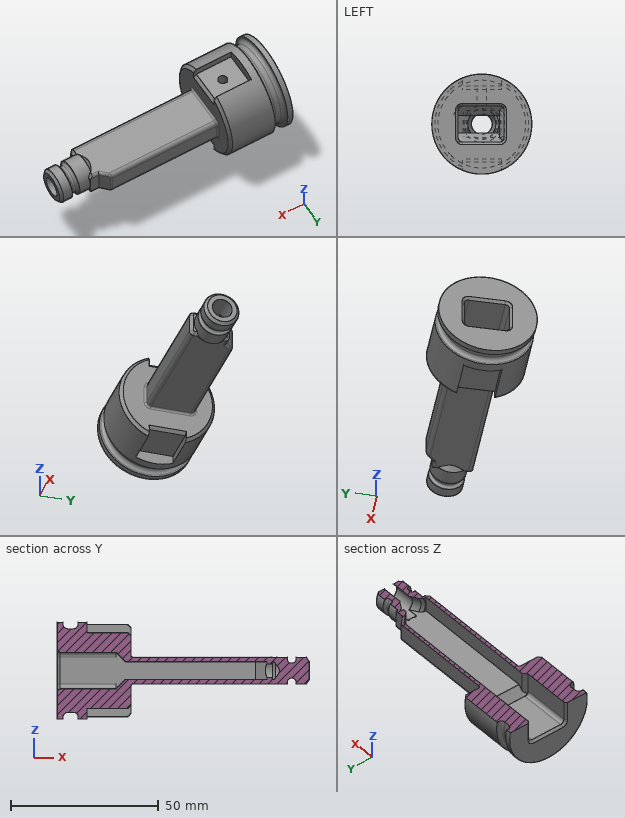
import cadquery as cq
import math

total_length = 85.53

head_diameter = 34.0
head_length = 25.1
head_chamfer = 1.1
ring_groove_start = 2.05
ring_groove_width = 5.0
ring_groove_floor_diameter = 29.8
ring_groove_radius = 1.5

pocket_start = 10.2
pocket_width = 13.2
pocket_floor_height = 12.9
pin_hole_diameter = 3.31
pin_hole_x = 17.5

shank_left = 9.45
shank_right = -7.65
shank_height = 9.1
shank_end = 74.0
shank_edge_radius = 1.5
shank_end_chamfer = 1.1
shank_root_radius = 0.75
notch_floor_y = 6.3
notch_floor_start = 70.6
notch_edge_radius = 1.0

stud_diameter = 12.5
stud_cone_end = 72.55
stud_chamfer = 1.0
stud_groove_start = 78.1
stud_groove_width = 2.9
stud_groove_floor_diameter = 10.0
stud_groove_radius = 0.95

socket_left = 8.0
socket_right = -7.5
socket_height = 12.2
socket_depth = 20.0
socket_corner_radius = 1.5
socket_mouth_chamfer = 0.9
slot_right = -6.05
slot_height = 5.9
slot_end = 73.0
slot_wall_to_notch = 1.1

bore_diameter = 7.0
bore_mouth_diameter = 9.5
bore_flare_diameter = 11.6
bore_taper_length = 3.0

edge_margin = 0.1

notch_overrun = 1.0


def box(x_range, y_range, z_range):
    """Axis-aligned box spanning the given ranges."""
    x0, x1 = x_range
    y0, y1 = y_range
    z0, z1 = z_range
    block = cq.Workplane("XY").box(x1 - x0, y1 - y0, z1 - z0, centered=False)
    return block.translate((x0, y0, z0))


def revolve_about_x(profile):
    """Close an XY profile and turn it fully about the X axis."""
    return profile.close().revolve(360, (0, 0, 0), (1, 0, 0))


def add_groove(profile, start, width, outer_radius, floor_radius, corner_radius):
    """Continue a turned profile along a groove with rounded floor corners."""
    end = start + width
    arc_top = floor_radius + corner_radius
    arc_offset = corner_radius * (1 - math.sqrt(0.5))
    return (
        profile.lineTo(start, outer_radius)
        .lineTo(start, arc_top)
        .threePointArc(
            (start + arc_offset, floor_radius + arc_offset),
            (start + corner_radius, floor_radius),
        )
        .lineTo(end - corner_radius, floor_radius)
        .threePointArc(
            (end - arc_offset, floor_radius + arc_offset),
            (end, arc_top),
        )
        .lineTo(end, outer_radius)
    )


def make_head():
    """Turned head with a ring groove and a chamfer at its shank end."""
    radius = head_diameter / 2
    profile = cq.Workplane("XY").moveTo(0, 0).lineTo(0, radius)
    profile = add_groove(
        profile, ring_groove_start, ring_groove_width,
        radius, ring_groove_floor_diameter / 2, ring_groove_radius,
    )
    profile = (
        profile.lineTo(head_length - head_chamfer, radius)
        .lineTo(head_length, radius - head_chamfer)
        .lineTo(head_length, 0)
    )
    return revolve_about_x(profile)


def make_pocket():
    """Cutter for the upper pocket, with the chamfer on the open edge of its floor."""
    return (
        cq.Workplane("XZ")
        .moveTo(pocket_start, head_diameter)
        .lineTo(pocket_start, pocket_floor_height)
        .lineTo(head_length - head_chamfer, pocket_floor_height)
        .lineTo(head_length, pocket_floor_height - head_chamfer)
        .lineTo(head_length, head_diameter)
        .close()
        .extrude(pocket_width / 2, both=True)
    )


def make_pin_hole():
    """Cross hole from the upper pocket into the socket."""
    return (
        cq.Workplane("XY")
        .center(pin_hole_x, 0)
        .circle(pin_hole_diameter / 2)
        .extrude(pocket_floor_height)
    )


def make_shank():
    """Flat bar with rounded long edges, an end chamfer and a notch in its +Y side."""
    notch_slope_start = notch_floor_start - (shank_left - notch_floor_y)
    shank = box(
        (head_length, shank_end),
        (shank_right, shank_left),
        (-shank_height / 2, shank_height / 2),
    ).edges("|X").fillet(shank_edge_radius)
    notch = (
        cq.Workplane("XY")
        .moveTo(notch_slope_start - notch_overrun, shank_left + notch_overrun)
        .lineTo(notch_floor_start, notch_floor_y)
        .lineTo(shank_end, notch_floor_y)
        .lineTo(shank_end, shank_left + notch_overrun)
        .close()
        .extrude(shank_height, both=True)
    )
    notch_edges = cq.selectors.BoxSelector(
        (notch_slope_start, notch_floor_y - edge_margin, -shank_height),
        (shank_end - shank_end_chamfer, shank_left - edge_margin, shank_height),
    )
    shank = shank.cut(notch).faces(">X").edges("not >Y").chamfer(shank_end_chamfer)
    return shank.edges(notch_edges).edges("not |Z").fillet(notch_edge_radius)


def join_at_root(head, shank):
    """Join shank and head with a small fillet around the foot of the shank."""
    root_zone = cq.selectors.BoxSelector(
        (head_length - edge_margin, shank_right - edge_margin, -shank_height),
        (head_length + edge_margin, shank_left + edge_margin, shank_height),
    )
    return head.union(shank).edges(root_zone).edges("|Y or |Z").fillet(shank_root_radius)


def make_stud():
    """Turned stud with a 45 degree cone running into the shank, a groove and an end chamfer."""
    radius = stud_diameter / 2
    profile = (
        cq.Workplane("XY")
        .moveTo(stud_cone_end - radius, 0)
        .lineTo(stud_cone_end, radius)
    )
    profile = add_groove(
        profile, stud_groove_start, stud_groove_width,
        radius, stud_groove_floor_diameter / 2, stud_groove_radius,
    )
    profile = (
        profile.lineTo(total_length - stud_chamfer, radius)
        .lineTo(total_length, radius - stud_chamfer)
        .lineTo(total_length, 0)
    )
    return revolve_about_x(profile)


def cut_socket(body):
    """Cut the rounded rectangular socket and chamfer its mouth."""
    socket = box(
        (0, socket_depth),
        (socket_right, socket_left),
        (-socket_height / 2, socket_height / 2),
    ).edges("|X").fillet(socket_corner_radius)
    mouth_zone = cq.selectors.BoxSelector(
        (-edge_margin, socket_right - edge_margin, -socket_height),
        (edge_margin, socket_left + edge_margin, socket_height),
    )
    return body.cut(socket).edges(mouth_zone).edges("|Y or |Z").chamfer(socket_mouth_chamfer)


def make_slot():
    """Slot through the shank: the overlap of its plan and its side outline."""
    right_funnel = slot_right - socket_right
    height_funnel = (socket_height - slot_height) / 2
    slope_sum = notch_floor_start + notch_floor_y - slot_wall_to_notch * math.sqrt(2)
    plan = (
        cq.Workplane("XY")
        .moveTo(socket_depth, socket_left)
        .lineTo(slope_sum - socket_left, socket_left)
        .lineTo(slot_end, slope_sum - slot_end)
        .lineTo(slot_end, slot_right)
        .lineTo(socket_depth + right_funnel, slot_right)
        .lineTo(socket_depth, socket_right)
        .close()
        .extrude(socket_height, both=True)
    )
    side = (
        cq.Workplane("XZ")
        .moveTo(socket_depth, socket_height / 2)
        .lineTo(socket_depth + height_funnel, slot_height / 2)
        .lineTo(slot_end, slot_height / 2)
        .lineTo(slot_end, -slot_height / 2)
        .lineTo(socket_depth + height_funnel, -slot_height / 2)
        .lineTo(socket_depth, -socket_height / 2)
        .close()
        .extrude(head_diameter, both=True)
    )
    return plan.intersect(side)


def make_bore():
    """Bore through the stud; its wide mouth stays within the height of the slot."""
    bore_radius = bore_diameter / 2
    mouth_radius = bore_mouth_diameter / 2
    flare_radius = bore_flare_diameter / 2
    flare_end = slot_end + flare_radius - mouth_radius
    mouth_start = notch_floor_start
    flare = revolve_about_x(
        cq.Workplane("XY")
        .moveTo(mouth_start, 0)
        .lineTo(mouth_start, mouth_radius)
        .lineTo(slot_end, mouth_radius)
        .lineTo(slot_end, flare_radius)
        .lineTo(flare_end, mouth_radius)
        .lineTo(flare_end + bore_taper_length, bore_radius)
        .lineTo(flare_end + bore_taper_length, 0)
    )
    slot_band = box(
        (mouth_start, total_length),
        (-flare_radius, flare_radius),
        (-slot_height / 2, slot_height / 2),
    )
    hole = (
        cq.Workplane("YZ", origin=(slot_end, 0, 0))
        .circle(bore_radius)
        .extrude(total_length - slot_end)
    )
    return flare.intersect(slot_band).union(hole)


upper_pocket = make_pocket()
lower_pocket = upper_pocket.mirror("XY")

body = join_at_root(make_head(), make_shank()).union(make_stud())
body = cut_socket(body)
result = (
    body.cut(upper_pocket)
    .cut(lower_pocket)
    .cut(make_pin_hole())
    .cut(make_slot())
    .cut(make_bore())
)